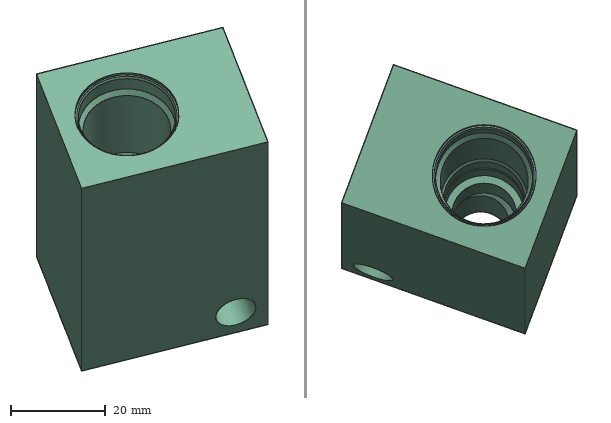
import cadquery as cq

WIDTH = 31.75
LENGTH = 41.15
HEIGHT = 63.5

CAVITY_Y = 15.0
RIM_DIAMETER = 21.85
RIM_DEPTH = 0.65
SEAT_ENTRY_DIAMETER = 21.1
SEAT_DIAMETER = 20.45
SEAT_ENTRY_DEPTH = 1.1
SEAT_DEPTH = 4.65
THREAD_DIAMETER = 18.5
THREAD_TOP_DEPTH = 5.65
THREAD_DEPTH = 25.4
GUIDE_DIAMETER = 17.4
GUIDE_DEPTH = 31.75
BORE_DIAMETER = 16.9
BORE_DEPTH = 38.1
NOSE_DIAMETER = 13.6
NOSE_DEPTH = 47.6
DRILL_TIP_HEIGHT = 3.9

PORT_DIAMETER = 12.0
PORT_OFFSET = (NOSE_DIAMETER - PORT_DIAMETER) / 2

CROSS_DIAMETER = 8.8
CROSS_EDGE_DISTANCE = 7.1


def make_cavity():
    """Revolve the cavity profile about its own vertical axis."""
    steps = [
        (RIM_DIAMETER, 0),
        (RIM_DIAMETER, RIM_DEPTH),
        (SEAT_ENTRY_DIAMETER, RIM_DEPTH),
        (SEAT_DIAMETER, SEAT_ENTRY_DEPTH),
        (SEAT_DIAMETER, SEAT_DEPTH),
        (THREAD_DIAMETER, THREAD_TOP_DEPTH),
        (THREAD_DIAMETER, THREAD_DEPTH),
        (GUIDE_DIAMETER, THREAD_DEPTH + (THREAD_DIAMETER - GUIDE_DIAMETER) / 2),
        (GUIDE_DIAMETER, GUIDE_DEPTH),
        (BORE_DIAMETER, GUIDE_DEPTH + (GUIDE_DIAMETER - BORE_DIAMETER) / 2),
        (BORE_DIAMETER, BORE_DEPTH),
        (NOSE_DIAMETER, BORE_DEPTH),
        (NOSE_DIAMETER, NOSE_DEPTH),
        (0, NOSE_DEPTH + DRILL_TIP_HEIGHT),
    ]
    profile = [(0, HEIGHT)] + [(diameter / 2, HEIGHT - depth) for diameter, depth in steps]
    cavity = cq.Workplane("XZ").polyline(profile).close().revolve(360, (0, 0), (0, 1))
    return cavity.translate((WIDTH / 2, CAVITY_Y, 0))


block = cq.Workplane("XY").box(WIDTH, LENGTH, HEIGHT, centered=False)

bottom_port = (
    cq.Workplane("XY")
    .center(WIDTH / 2, CAVITY_Y + PORT_OFFSET)
    .circle(PORT_DIAMETER / 2)
    .extrude(HEIGHT - NOSE_DEPTH)
)

cross_hole = (
    cq.Workplane("YZ")
    .center(LENGTH - CROSS_EDGE_DISTANCE, CROSS_EDGE_DISTANCE)
    .circle(CROSS_DIAMETER / 2)
    .extrude(WIDTH)
)

result = block.cut(make_cavity()).cut(bottom_port).cut(cross_hole)